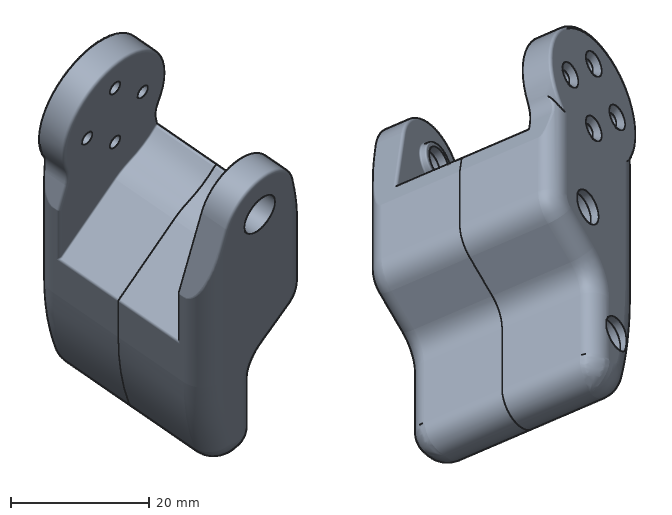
import cadquery as cq
import math

WIDTH = 33.4
EAR_THICKNESS = 5.2
SIDE_X = WIDTH / 2
EAR_X = SIDE_X - EAR_THICKNESS
DISC_RADIUS = 11.0
TOTAL_HEIGHT = 61.0
AXIS_Z = TOTAL_HEIGHT - DISC_RADIUS
MARGIN = 3.05

FRONT_Y = -12.0
BACK_Y = 9.9
TONGUE_BACK_Y = -0.9
SHOULDER_Z = 24.35
SHOULDER_SLOPE = math.radians(30)
SHOULDER_RADIUS = 5.0
FRONT_CURVE_RADIUS = 61.0
FRONT_CURVE_Z = 20.1
TOE_RADIUS = 5.0
FRONT_CURVE_ANGLE = math.asin((FRONT_CURVE_Z - TOE_RADIUS) / (FRONT_CURVE_RADIUS - TOE_RADIUS))

FRONT_SIDE_FILLET = 3.95
BACK_SIDE_FILLET = 3.0
EDGE_FILLET = 0.5
FLOOR_FILLET = 0.25

EAR_RADIUS = 7.5
FRONT_FLANK_ANGLE = math.radians(20)
BACK_FLANK_ANGLE = math.radians(10)
NECK_FILLET = 5.0

FLOOR_ARC_RADIUS = 13.2
FLOOR_CREST_RADIUS = 10.0
FLOOR_SLOPE = math.radians(32.5)

DISC_HOLE_OFFSET = 6.0
DISC_HOLE_RADIUS = 1.1
DISC_SINK_RADIUS = 2.0

SCREW_POINTS = [(1.5, 28.5), (-6.0, 10.0)]
SCREW_HEAD_RADIUS = 2.75
SCREW_HEAD_DEPTH = 1.35
SCREW_CLEARANCE_RADIUS = 1.3
SCREW_PILOT_RADIUS = 1.1
SCREW_PILOT_DEPTH = 10.0

BOSS_RADIUS = 3.3
BOSS_HEIGHT = 1.1
BOSS_HOLE_RADIUS = 2.5
BOSS_HOLE_DEPTH = 1.45
SOCKET_RADIUS = BOSS_RADIUS
BOSS_FILLET = 0.25

TOLERANCE = 0.05
X_SPAN = (-WIDTH, WIDTH)
Y_SPAN = (-WIDTH, WIDTH)
REAR_Y = (TONGUE_BACK_Y - TOLERANCE, BACK_Y + TOLERANCE)
POCKET_MIN_Z = 28.05
FLANK_BASE_MIN_Z = 36.6
FLANK_BASE_MAX_Z = 39.65
RIM_MIN_Z = 40.25


def side_prism(wire, x_start, x_end):
    """Extrude a closed YZ outline between two X positions."""
    return wire.extrude(x_end - x_start).translate((x_start, 0, 0))


def cylinder_x(radius, y, z, x_start, x_end):
    return side_prism(cq.Workplane("YZ").center(y, z).circle(radius), x_start, x_end)


def cone_x(start_radius, end_radius, y, z, x_start):
    """A 90 degree cone that narrows toward +X."""
    height = start_radius - end_radius
    return cq.Workplane(cq.Solid.makeCone(
        start_radius, end_radius, height, cq.Vector(x_start, y, z), cq.Vector(1, 0, 0)))


def box_select(x_range, y_range, z_range):
    """Selector for edges whose centres lie within the given ranges."""
    lows, highs = zip(sorted(x_range), sorted(y_range), sorted(z_range))
    return cq.selectors.BoxSelector(lows, highs)


def arc_point(center, radius, angle):
    return (center[0] + radius * math.cos(angle), center[1] + radius * math.sin(angle))


def core_outline():
    curve_center = (FRONT_Y + FRONT_CURVE_RADIUS, FRONT_CURVE_Z)
    curve_mid = arc_point(curve_center, FRONT_CURVE_RADIUS, math.pi + FRONT_CURVE_ANGLE / 2)
    curve_end = arc_point(curve_center, FRONT_CURVE_RADIUS, math.pi + FRONT_CURVE_ANGLE)
    toe_center = arc_point(curve_center, FRONT_CURVE_RADIUS - TOE_RADIUS, math.pi + FRONT_CURVE_ANGLE)
    toe_mid_angle = (math.pi + FRONT_CURVE_ANGLE + 1.5 * math.pi) / 2
    toe_mid = arc_point(toe_center, TOE_RADIUS, toe_mid_angle)
    bottom_z = toe_center[1] - TOE_RADIUS

    half_turn = (math.pi / 2 - SHOULDER_SLOPE) / 2
    setback = SHOULDER_RADIUS * math.tan(half_turn)
    slope_y = setback * math.cos(SHOULDER_SLOPE)
    slope_z = setback * math.sin(SHOULDER_SLOPE)
    neck_z = SHOULDER_Z - (BACK_Y - TONGUE_BACK_Y) * math.tan(SHOULDER_SLOPE)
    neck_center = (TONGUE_BACK_Y + SHOULDER_RADIUS, neck_z - setback)
    shoulder_center = (BACK_Y - SHOULDER_RADIUS, SHOULDER_Z + setback)
    return (
        cq.Workplane("YZ")
        .moveTo(FRONT_Y, TOTAL_HEIGHT)
        .lineTo(FRONT_Y, FRONT_CURVE_Z)
        .threePointArc(curve_mid, curve_end)
        .threePointArc(toe_mid, (toe_center[0], bottom_z))
        .lineTo(TONGUE_BACK_Y, bottom_z)
        .lineTo(TONGUE_BACK_Y, neck_z - setback)
        .threePointArc(arc_point(neck_center, SHOULDER_RADIUS, math.pi - half_turn),
                       (TONGUE_BACK_Y + slope_y, neck_z + slope_z))
        .lineTo(BACK_Y - slope_y, SHOULDER_Z - slope_z)
        .threePointArc(arc_point(shoulder_center, SHOULDER_RADIUS, -half_turn),
                       (BACK_Y, SHOULDER_Z + setback))
        .lineTo(BACK_Y, TOTAL_HEIGHT)
        .close()
    )


def filleted_core():
    """Solid core of both halves with its sides rounded; the ears are not yet shaped."""
    core = side_prism(core_outline(), -SIDE_X, SIDE_X)
    heel = core.edges("|X").edges(box_select(X_SPAN, REAR_Y, (-TOLERANCE, TOLERANCE)))
    core = core.edges("|Z").edges("<Y").add(heel).fillet(FRONT_SIDE_FILLET)
    rear_corners = core.edges("|Z").edges(box_select(X_SPAN, REAR_Y, (0, TOTAL_HEIGHT)))
    return rear_corners.fillet(BACK_SIDE_FILLET)


def ear_outline():
    """Rounded ear whose two straight flanks spread past the front and back faces."""
    axis = (0, AXIS_Z)
    front_tangent = arc_point(axis, EAR_RADIUS, math.pi - FRONT_FLANK_ANGLE)
    back_tangent = arc_point(axis, EAR_RADIUS, BACK_FLANK_ANGLE)
    front_end_y = FRONT_Y - MARGIN
    back_end_y = BACK_Y + MARGIN
    front_end_z = front_tangent[1] - (front_tangent[0] - front_end_y) / math.tan(FRONT_FLANK_ANGLE)
    back_end_z = back_tangent[1] - (back_end_y - back_tangent[0]) / math.tan(BACK_FLANK_ANGLE)
    return (
        cq.Workplane("YZ")
        .moveTo(*front_tangent)
        .threePointArc((0, AXIS_Z + EAR_RADIUS), back_tangent)
        .lineTo(back_end_y, back_end_z)
        .lineTo(back_end_y, -MARGIN)
        .lineTo(front_end_y, -MARGIN)
        .lineTo(front_end_y, front_end_z)
        .close()
    )


def pocket_outline():
    """Space between the ears: a front slope, a rounded crest and an arc about the hinge axis."""
    axis = (0, AXIS_Z)
    slope_normal = math.pi / 2 + FLOOR_SLOPE
    center_distance = FLOOR_ARC_RADIUS + FLOOR_CREST_RADIUS
    crest_y = FLOOR_CREST_RADIUS * math.sin(FLOOR_SLOPE)
    crest_angle = -math.acos(crest_y / center_distance)
    crest = arc_point(axis, center_distance, crest_angle)
    crest_start = arc_point(crest, FLOOR_CREST_RADIUS, slope_normal)
    crest_mid = arc_point(crest, FLOOR_CREST_RADIUS, (slope_normal + math.pi + crest_angle) / 2)
    crest_end = arc_point(axis, FLOOR_ARC_RADIUS, crest_angle)
    arc_end_angle = -math.acos((BACK_Y + EDGE_FILLET) / FLOOR_ARC_RADIUS)
    arc_end = arc_point(axis, FLOOR_ARC_RADIUS, arc_end_angle)
    front_end_y = FRONT_Y - MARGIN
    front_end_z = crest_start[1] + front_end_y * math.tan(FLOOR_SLOPE)
    top_z = TOTAL_HEIGHT + MARGIN
    return (
        cq.Workplane("YZ")
        .moveTo(front_end_y, front_end_z)
        .lineTo(*crest_start)
        .threePointArc(crest_mid, crest_end)
        .threePointArc(arc_point(axis, FLOOR_ARC_RADIUS, (crest_angle + arc_end_angle) / 2), arc_end)
        .lineTo(arc_end[0], top_z)
        .lineTo(front_end_y, top_z)
        .close()
    )


def ear_blank(has_disc):
    """Prism that trims an ear to its side outline."""
    blank = side_prism(ear_outline(), -SIDE_X, SIDE_X)
    if not has_disc:
        return blank
    blank = blank.union(cylinder_x(DISC_RADIUS, 0, AXIS_Z, -SIDE_X, SIDE_X))
    disc_y = (-DISC_RADIUS, DISC_RADIUS)
    neck_z = (AXIS_Z - DISC_RADIUS, AXIS_Z - TOLERANCE)
    return blank.edges("|X").edges(box_select(X_SPAN, disc_y, neck_z)).fillet(NECK_FILLET)


def add_disc(half):
    """Replace the top of the left ear by the round disc, above where the neck meets it."""
    neck_turn = math.acos((EAR_RADIUS + NECK_FILLET) / (DISC_RADIUS + NECK_FILLET))
    neck_top = arc_point((0, AXIS_Z), DISC_RADIUS, math.pi - FRONT_FLANK_ANGLE + neck_turn)
    above_neck = cq.Workplane("XY").box(WIDTH, WIDTH, TOTAL_HEIGHT, centered=(True, True, False))
    disc = cylinder_x(DISC_RADIUS, 0, AXIS_Z, -SIDE_X, -EAR_X).edges("<X").fillet(EDGE_FILLET)
    return half.cut(above_neck.translate((0, 0, neck_top[1]))).union(disc)


def half_blank(side, has_disc):
    """One half of the housing, solid, with its ear shaped. Side is -1 for left, 1 for right."""
    half_space = cq.Workplane("XY").box(SIDE_X, WIDTH, TOTAL_HEIGHT, centered=(True, True, False))
    half = filleted_core().intersect(half_space.translate((side * SIDE_X / 2, 0, 0)))
    half = half.intersect(ear_blank(has_disc))
    if has_disc:
        half = add_disc(half)
    flank_base = half.edges("|X").edges(box_select(X_SPAN, Y_SPAN, (FLANK_BASE_MIN_Z, FLANK_BASE_MAX_Z)))
    return flank_base.fillet(EDGE_FILLET)


def cut_pocket(half, side):
    """Open the space beside the ear and round its edges."""
    half = half.cut(side_prism(pocket_outline(), -EAR_X, EAR_X))
    x_range = (side * TOLERANCE, side * (EAR_X + TOLERANCE))
    rim = half.edges(box_select(x_range, Y_SPAN, (RIM_MIN_Z, TOTAL_HEIGHT + MARGIN)))
    front_y = (FRONT_Y - TOLERANCE, FRONT_Y + TOLERANCE)
    front = half.edges(box_select(x_range, front_y, (POCKET_MIN_Z, RIM_MIN_Z)))
    half = rim.add(front).fillet(EDGE_FILLET)
    ear_face = (side * (EAR_X - TOLERANCE), side * (EAR_X + TOLERANCE))
    corner_y = (FRONT_Y + 2 * EDGE_FILLET, BACK_Y - 2 * EDGE_FILLET)
    return half.edges(box_select(ear_face, corner_y, (POCKET_MIN_Z, RIM_MIN_Z))).fillet(FLOOR_FILLET)


def make_left_half():
    """Half with the round disc ear; it takes the heads of the assembly screws."""
    half = cut_pocket(half_blank(-1, True), -1)
    for turn in range(4):
        y, z = arc_point((0, AXIS_Z), DISC_HOLE_OFFSET, turn * math.pi / 2)
        half = half.cut(cylinder_x(DISC_HOLE_RADIUS, y, z, -SIDE_X, -EAR_X))
        half = half.cut(cone_x(DISC_SINK_RADIUS, DISC_HOLE_RADIUS, y, z, -SIDE_X))
    for y, z in SCREW_POINTS:
        sink_x = -SIDE_X + SCREW_HEAD_DEPTH
        half = half.cut(cylinder_x(SCREW_HEAD_RADIUS, y, z, -SIDE_X, sink_x))
        half = half.cut(cone_x(SCREW_HEAD_RADIUS, SCREW_CLEARANCE_RADIUS, y, z, sink_x))
        half = half.cut(cylinder_x(SCREW_CLEARANCE_RADIUS, y, z, sink_x, 0))
    return half


def make_right_half():
    """Half with the pivot boss; the assembly screws bite into its blind pilot holes."""
    half = cut_pocket(half_blank(1, False), 1)
    tip_x = EAR_X - BOSS_HEIGHT
    boss = cylinder_x(BOSS_RADIUS, 0, AXIS_Z, tip_x, EAR_X)
    half = half.union(boss.edges("<X").fillet(BOSS_FILLET))
    root = box_select((EAR_X - TOLERANCE, EAR_X + TOLERANCE), (-BOSS_RADIUS, BOSS_RADIUS),
                      (AXIS_Z - BOSS_RADIUS, AXIS_Z + BOSS_RADIUS))
    half = half.edges("%CIRCLE").edges(root).fillet(BOSS_FILLET)
    step_x = tip_x + BOSS_HOLE_DEPTH
    half = half.cut(cylinder_x(BOSS_HOLE_RADIUS, 0, AXIS_Z, tip_x, step_x))
    half = half.cut(cylinder_x(SOCKET_RADIUS, 0, AXIS_Z, step_x, SIDE_X))
    for y, z in SCREW_POINTS:
        half = half.cut(cylinder_x(SCREW_PILOT_RADIUS, y, z, 0, SCREW_PILOT_DEPTH))
    return half


left_half = make_left_half()
right_half = make_right_half()
result = cq.Compound.makeCompound([left_half.val(), right_half.val()])